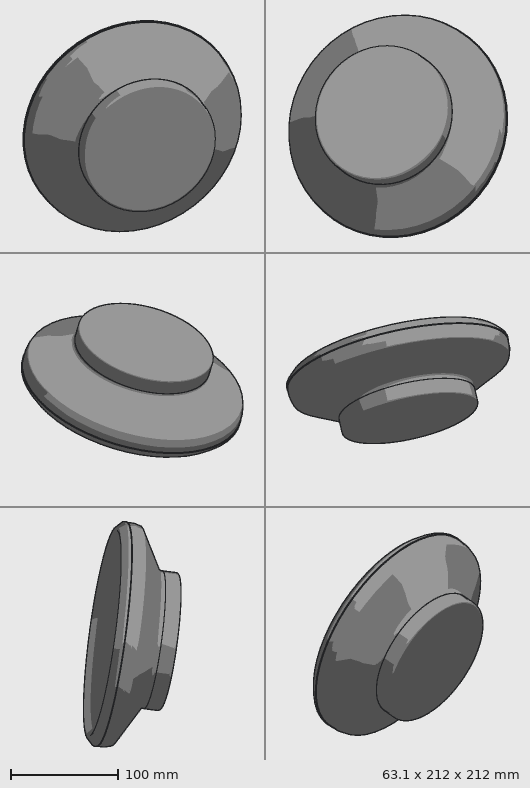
import math

import cadquery as cq

total_length = 63.1
outer_radius = 106.0

joint_x = 8.5
bezel_slope = math.radians(45)
bezel_round = 2.1
land_round = 1.5
land_outer_radius = 99.1
land_inner_radius = 97.6
dish_radius = 90.2

rim_radius = 105.5
joint_band_radius = 105.3
joint_band_width = 0.6
rim_round_x = 14.6
rim_round = 7.0
taper_angle = math.radians(16)
shoulder_x = 21.5
shoulder_round = 2.1

cone_angle = math.radians(60)
neck_radius = 65.0
neck_band_radius = 64.8
neck_band_width = 0.6
neck_root_round = 4.5
neck_end_round = 2.3


def revolve_about_x(profile):
    return profile.close().revolve(360, (0, 0, 0), (1, 0, 0))


def make_bezel():
    round_depth = bezel_round * (1 - math.cos(bezel_slope))
    round_width = bezel_round * math.sin(bezel_slope)
    land_round_depth = land_round * (1 - math.cos(bezel_slope))
    land_round_width = land_round * math.sin(bezel_slope)

    slope_front_radius = land_outer_radius + land_round_width
    slope_back_radius = outer_radius - round_depth
    slope_back_x = land_round_depth + (slope_back_radius - slope_front_radius) / math.tan(bezel_slope)

    dish_top_radius = land_inner_radius - land_round_width
    dish_foot_radius = dish_radius + round_width
    dish_foot_x = land_round_depth + (dish_top_radius - dish_foot_radius) / math.tan(bezel_slope)
    dish_depth = dish_foot_x + round_depth

    profile = (
        cq.Workplane("XY")
        .moveTo(joint_x, 0)
        .lineTo(joint_x, outer_radius)
        .lineTo(slope_back_x + round_width, outer_radius)
        .tangentArcPoint((slope_back_x, slope_back_radius), relative=False)
        .lineTo(land_round_depth, slope_front_radius)
        .tangentArcPoint((0, land_outer_radius), relative=False)
        .lineTo(0, land_inner_radius)
        .tangentArcPoint((land_round_depth, dish_top_radius), relative=False)
        .lineTo(dish_foot_x, dish_foot_radius)
        .tangentArcPoint((dish_depth, dish_radius), relative=False)
        .lineTo(dish_depth, 0)
    )
    return revolve_about_x(profile)


def make_housing():
    rim_x = joint_x + joint_band_width

    taper_x = rim_round_x + rim_round * math.sin(taper_angle)
    taper_radius = rim_radius - rim_round * (1 - math.cos(taper_angle))
    shoulder_radius = taper_radius - (shoulder_x - taper_x) * math.tan(taper_angle)
    cone_x = shoulder_x + shoulder_round * (math.sin(cone_angle) - math.sin(taper_angle))
    cone_radius = shoulder_radius - shoulder_round * (math.cos(taper_angle) - math.cos(cone_angle))

    root_radius = neck_band_radius + neck_root_round * (1 - math.cos(cone_angle))
    root_x = cone_x + (cone_radius - root_radius) / math.tan(cone_angle)
    neck_band_x = root_x + neck_root_round * math.sin(cone_angle)
    neck_x = neck_band_x + neck_band_width

    profile = (
        cq.Workplane("XY")
        .moveTo(joint_x, 0)
        .lineTo(joint_x, joint_band_radius)
        .lineTo(rim_x, joint_band_radius)
        .lineTo(rim_x, rim_radius)
        .lineTo(rim_round_x, rim_radius)
        .tangentArcPoint((taper_x, taper_radius), relative=False)
        .lineTo(shoulder_x, shoulder_radius)
        .tangentArcPoint((cone_x, cone_radius), relative=False)
        .lineTo(root_x, root_radius)
        .tangentArcPoint((neck_band_x, neck_band_radius), relative=False)
        .lineTo(neck_x, neck_band_radius)
        .lineTo(neck_x, neck_radius)
        .lineTo(total_length - neck_end_round, neck_radius)
        .tangentArcPoint((total_length, neck_radius - neck_end_round), relative=False)
        .lineTo(total_length, 0)
    )
    return revolve_about_x(profile)


bezel = make_bezel()
housing = make_housing()
result = cq.Compound.makeCompound([bezel.val(), housing.val()])